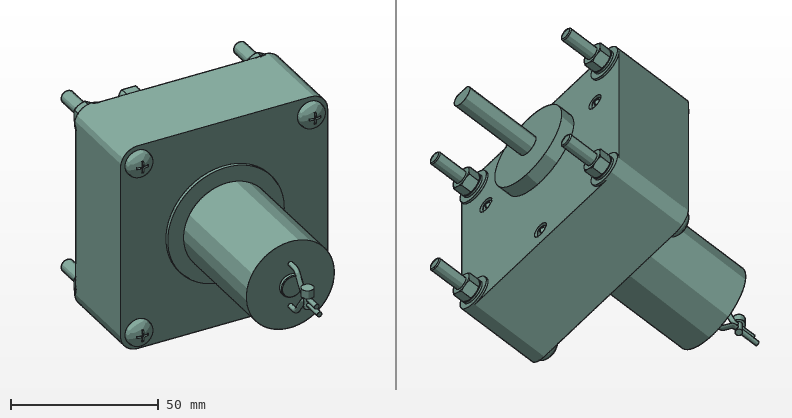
import cadquery as cq
import math


BOX_SIDE = 80.0
CORNER_RADIUS = 6.7
BODY_LENGTH = 29.5
COVER_THICKNESS = 2.0
BOX_LENGTH = BODY_LENGTH + COVER_THICKNESS
CORNER_PAD_HEIGHT = 0.75
BOLT_OFFSET = BOX_SIDE / 2 - CORNER_RADIUS
BOLT_POSITIONS = [(y, z) for y in (-BOLT_OFFSET, BOLT_OFFSET) for z in (-BOLT_OFFSET, BOLT_OFFSET)]

SHAFT_Z = 15.0
BOSS_RADIUS = 17.0
BOSS_HEIGHT = 5.5
SHAFT_RADIUS = 4.0
SHAFT_LENGTH = 30.0
FLAT_LENGTH = 14.0
FLAT_DEPTH = 1.0
SHAFT_TIP_X = -BOSS_HEIGHT - SHAFT_LENGTH

BOLT_RADIUS = 2.5
BOLT_TIP_X = -18.3
BOLT_TIP_CHAMFER = 0.4
NUT_ACROSS_FLATS = 8.0
NUT_SIDES = 6
NUT_CORNER_RADIUS = NUT_ACROSS_FLATS / 2 / math.cos(math.pi / NUT_SIDES)
NUT_FRONT_X = -6.25
NUT_HEIGHT = 4.75
NUT_BEVEL = 0.35
NUT_BEVEL_RADIUS = 4.1
WASHER_RADIUS = NUT_CORNER_RADIUS
HEAD_RADIUS = 5.0
HEAD_RIM_HEIGHT = 1.1
HEAD_SHOULDER_RADIUS = 1.4
HEAD_HEIGHT = 3.75
HEAD_CROSS_LENGTH = 4.5
HEAD_CROSS_WIDTH = 0.7
HEAD_CROSS_DEPTH = 1.2

SCREW_CIRCLE_RADIUS = 32.0
SCREW_COUNT = 3
SCREW_FIRST_ANGLE = 30.0
SCREW_HOLE_RADIUS = 3.0
SCREW_HOLE_DEPTH = 2.0
SCREW_HEAD_RADIUS = 2.4
SCREW_RIM_DEPTH = 0.8
SCREW_DOME_RISE = 0.35
SCREW_CROSS_LENGTH = 3.2
SCREW_CROSS_WIDTH = 0.4
SCREW_CROSS_DEPTH = 1.0

FLANGE_RADIUS = 22.5
FLANGE_THICKNESS = 1.3
MOTOR_RADIUS = 17.0
MOTOR_FRONT_FILLET = 1.5
MOTOR_FRONT_X = BOX_LENGTH + FLANGE_THICKNESS
MOTOR_END_X = 78.0
BEARING_RADIUS = 4.2
BEARING_HEIGHT = 1.5
BEARING_CHAMFER = 0.3

WIRE_RADIUS = 0.9
WIRE_ROOT_Z = 8.3
WIRE_JOINED_Z = 1.0
WIRE_SPREAD_X = 82.2
WIRE_JOINED_X = 87.4
WIRE_BEND_RADIUS = 2.9
WIRE_END_LONG_X = 98.42
WIRE_END_SHORT_X = 96.5
WIRE_ROOT_DEPTH = 0.5
CLIP_X = 90.0
CLIP_PIN_RADIUS = 1.3
CLIP_PIN_BOTTOM_Z = -2.7
CLIP_HEAD_RADIUS = 2.25
CLIP_HEAD_BOTTOM_Z = 2.0
CLIP_HEAD_TOP_Z = 5.2


def disc(x_start, x_end, radius, y=0.0, z=0.0):
    """Cylinder along X between two X positions."""
    return cq.Workplane("YZ", origin=(x_start, y, z)).circle(radius).extrude(x_end - x_start)


def rounded_block(x_start, x_end):
    """Square block with the gearbox corner rounding."""
    block = cq.Workplane("YZ", origin=(x_start, 0, 0)).rect(BOX_SIDE, BOX_SIDE)
    return block.extrude(x_end - x_start).edges("|X").fillet(CORNER_RADIUS)


def cross_cutter(x_start, x_end, length, width):
    """Cross shaped bar along X for a screwdriver recess."""
    plane = cq.Workplane("YZ", origin=(x_start, 0, 0))
    depth = x_end - x_start
    return plane.rect(length, width).extrude(depth).union(plane.rect(width, length).extrude(depth))


def dome_radius(base_radius, rise):
    """Radius of the sphere that caps a circle with the given rise."""
    return (base_radius ** 2 + rise ** 2) / (2 * rise)


def make_gearbox():
    box = rounded_block(-CORNER_PAD_HEIGHT, BODY_LENGTH)
    around_pads = rounded_block(-CORNER_PAD_HEIGHT, 0)
    for y, z in BOLT_POSITIONS:
        around_pads = around_pads.cut(disc(-CORNER_PAD_HEIGHT, 0, CORNER_RADIUS, y, z))
    box = box.cut(around_pads, clean=False)
    return box.union(rounded_block(BODY_LENGTH, BOX_LENGTH), clean=False)


def make_output():
    boss = disc(-BOSS_HEIGHT, 0, BOSS_RADIUS, 0, SHAFT_Z)
    shaft = disc(SHAFT_TIP_X, -BOSS_HEIGHT, SHAFT_RADIUS, 0, SHAFT_Z)
    flat = cq.Workplane("XY").box(FLAT_LENGTH, 2 * SHAFT_RADIUS, FLAT_DEPTH, centered=(False, True, False))
    flat = flat.translate((SHAFT_TIP_X, 0, SHAFT_Z + SHAFT_RADIUS - FLAT_DEPTH))
    return boss.union(shaft.cut(flat))


def make_nut():
    """Hexagonal nut with corners on Z and bevelled corners at both ends."""
    corner_points = []
    for index in range(NUT_SIDES):
        angle = math.pi / 2 + 2 * math.pi / NUT_SIDES * index
        corner_points.append((NUT_CORNER_RADIUS * math.cos(angle), NUT_CORNER_RADIUS * math.sin(angle)))
    nut_back_x = NUT_FRONT_X + NUT_HEIGHT
    hexagon = cq.Workplane("YZ", origin=(NUT_FRONT_X, 0, 0)).polyline(corner_points).close()
    bevel_width = NUT_CORNER_RADIUS - NUT_BEVEL_RADIUS
    envelope = disc(NUT_FRONT_X, nut_back_x, NUT_CORNER_RADIUS)
    envelope = envelope.faces("<X or >X").edges().chamfer(NUT_BEVEL, bevel_width)
    return hexagon.extrude(NUT_HEIGHT).intersect(envelope)


def make_bolt_head():
    """Domed head on the rear cover with a cross recess."""
    rim_x = BOX_LENGTH + HEAD_RIM_HEIGHT
    top_x = BOX_LENGTH + HEAD_HEIGHT
    cap_height = HEAD_HEIGHT - HEAD_RIM_HEIGHT
    inset = HEAD_RADIUS - HEAD_SHOULDER_RADIUS
    dome_to_shoulder = dome_radius(inset, cap_height - HEAD_SHOULDER_RADIUS)
    tangent_angle = math.asin(inset / dome_to_shoulder)
    tangent_x = rim_x + HEAD_SHOULDER_RADIUS * math.cos(tangent_angle)
    tangent_radius = inset + HEAD_SHOULDER_RADIUS * math.sin(tangent_angle)
    profile = (
        cq.Workplane("XY")
        .moveTo(BOX_LENGTH, 0)
        .lineTo(BOX_LENGTH, HEAD_RADIUS)
        .lineTo(rim_x, HEAD_RADIUS)
        .tangentArcPoint((tangent_x, tangent_radius), relative=False)
        .tangentArcPoint((top_x, 0), relative=False)
        .close()
    )
    head = profile.revolve(360, (0, 0, 0), (1, 0, 0))
    return head.cut(cross_cutter(top_x - HEAD_CROSS_DEPTH, top_x, HEAD_CROSS_LENGTH, HEAD_CROSS_WIDTH))


def make_bolt():
    """Pieces of one bolt: threaded end, washer, nut and head, centred on the X axis."""
    thread = disc(BOLT_TIP_X, 0, BOLT_RADIUS).faces("<X").chamfer(BOLT_TIP_CHAMFER)
    washer = disc(NUT_FRONT_X + NUT_HEIGHT, -CORNER_PAD_HEIGHT, WASHER_RADIUS)
    return thread, washer, make_nut(), make_bolt_head()


def make_screw_head():
    """Domed head standing in its counterbore, with a cross recess."""
    dome_rise = SCREW_RIM_DEPTH + SCREW_DOME_RISE
    profile = (
        cq.Workplane("XY")
        .moveTo(SCREW_HOLE_DEPTH, 0)
        .lineTo(SCREW_HOLE_DEPTH, SCREW_HEAD_RADIUS)
        .lineTo(SCREW_RIM_DEPTH, SCREW_HEAD_RADIUS)
        .radiusArc((-SCREW_DOME_RISE, 0), -dome_radius(SCREW_HEAD_RADIUS, dome_rise))
        .close()
    )
    head = profile.revolve(360, (0, 0, 0), (1, 0, 0))
    recess_floor = SCREW_CROSS_DEPTH - SCREW_DOME_RISE
    return head.cut(cross_cutter(-SCREW_DOME_RISE, recess_floor, SCREW_CROSS_LENGTH, SCREW_CROSS_WIDTH))


def make_motor():
    flange = disc(BOX_LENGTH, MOTOR_FRONT_X, FLANGE_RADIUS)
    can = disc(MOTOR_FRONT_X, MOTOR_END_X, MOTOR_RADIUS).faces("<X").edges().fillet(MOTOR_FRONT_FILLET)
    bearing = disc(MOTOR_END_X, MOTOR_END_X + BEARING_HEIGHT, BEARING_RADIUS)
    bearing = bearing.faces(">X").chamfer(BEARING_CHAMFER)
    return flange.union(can).union(bearing)


def make_wire(side, end_x):
    """Wire above (side = 1) or below (side = -1) the motor axis."""
    root_x = MOTOR_END_X - WIRE_ROOT_DEPTH
    slope_angle = math.atan2(WIRE_ROOT_Z - WIRE_JOINED_Z, WIRE_JOINED_X - WIRE_SPREAD_X)
    setback = WIRE_BEND_RADIUS * math.tan(slope_angle / 2)
    setback_x = setback * math.cos(slope_angle)
    setback_z = setback * math.sin(slope_angle)
    path = (
        cq.Workplane("XZ")
        .moveTo(root_x, side * WIRE_ROOT_Z)
        .lineTo(WIRE_SPREAD_X - setback, side * WIRE_ROOT_Z)
        .tangentArcPoint((WIRE_SPREAD_X + setback_x, side * (WIRE_ROOT_Z - setback_z)), relative=False)
        .lineTo(WIRE_JOINED_X - setback_x, side * (WIRE_JOINED_Z + setback_z))
        .tangentArcPoint((WIRE_JOINED_X + setback, side * WIRE_JOINED_Z), relative=False)
        .lineTo(end_x, side * WIRE_JOINED_Z)
    )
    section = cq.Workplane("YZ", origin=(root_x, 0, side * WIRE_ROOT_Z)).circle(WIRE_RADIUS)
    return section.sweep(path)


def make_clip():
    pin = cq.Workplane("XY", origin=(CLIP_X, 0, CLIP_PIN_BOTTOM_Z)).circle(CLIP_PIN_RADIUS)
    head = cq.Workplane("XY", origin=(CLIP_X, 0, CLIP_HEAD_BOTTOM_Z)).circle(CLIP_HEAD_RADIUS)
    pin = pin.extrude(CLIP_HEAD_BOTTOM_Z - CLIP_PIN_BOTTOM_Z)
    return pin.union(head.extrude(CLIP_HEAD_TOP_Z - CLIP_HEAD_BOTTOM_Z))


result = make_gearbox()

screw_head = make_screw_head()
for index in range(SCREW_COUNT):
    angle = math.radians(SCREW_FIRST_ANGLE + 360 / SCREW_COUNT * index)
    screw_y = SCREW_CIRCLE_RADIUS * math.cos(angle)
    screw_z = SCREW_CIRCLE_RADIUS * math.sin(angle)
    result = result.cut(disc(0, SCREW_HOLE_DEPTH, SCREW_HOLE_RADIUS, screw_y, screw_z), clean=False)
    result = result.union(screw_head.translate((0, screw_y, screw_z)), clean=False)

bolt_pieces = make_bolt()
for bolt_y, bolt_z in BOLT_POSITIONS:
    for piece in bolt_pieces:
        result = result.union(piece.translate((0, bolt_y, bolt_z)), clean=False)

wires_and_clip = make_wire(1, WIRE_END_SHORT_X).union(make_wire(-1, WIRE_END_LONG_X)).union(make_clip())
for piece in (make_output(), make_motor(), wires_and_clip):
    result = result.union(piece, clean=False)